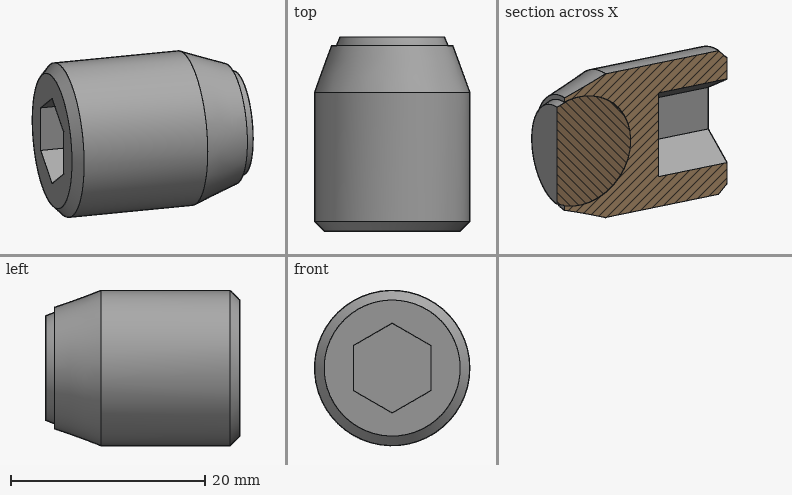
import cadquery as cq
import math


screw_diameter = 16.0
screw_length = 19.1
drive_chamfer = 1.0
nose_length = 4.8
nose_angle = 20.0

hex_across_flats = 8.0
hex_depth = 8.0

ball_diameter = 12.0
ball_flat_height = 2.65
overall_length = 20.0

screw_radius = screw_diameter / 2
nose_start = screw_length - nose_length
nose_end_radius = screw_radius - nose_length * math.tan(math.radians(nose_angle))
hex_across_corners = hex_across_flats / math.cos(math.radians(30))
ball_radius = ball_diameter / 2
ball_center = overall_length - ball_flat_height
ball_flat_radius = math.sqrt(ball_radius**2 - ball_flat_height**2)


def make_ball():
    """Ball with a flat at the overall length, turned about the screw axis."""
    return (
        cq.Workplane("XY")
        .moveTo(0, ball_center - ball_radius)
        .threePointArc((ball_radius, ball_center), (ball_flat_radius, overall_length))
        .lineTo(0, overall_length)
        .close()
        .revolve(360, (0, 0, 0), (0, 1, 0))
    )


def make_screw():
    """Turned body with a hexagon socket in front and a spherical seat at the nose."""
    body = (
        cq.Workplane("XY")
        .moveTo(0, 0)
        .lineTo(screw_radius - drive_chamfer, 0)
        .lineTo(screw_radius, drive_chamfer)
        .lineTo(screw_radius, nose_start)
        .lineTo(nose_end_radius, screw_length)
        .lineTo(0, screw_length)
        .close()
        .revolve(360, (0, 0, 0), (0, 1, 0))
    )
    hex_socket = (
        cq.Workplane("XZ")
        .transformed(rotate=(0, 0, 90))
        .polygon(6, hex_across_corners)
        .extrude(-hex_depth)
    )
    return body.cut(hex_socket).cut(make_ball())


screw = make_screw()
ball = make_ball()

result = cq.Compound.makeCompound([screw.val(), ball.val()])